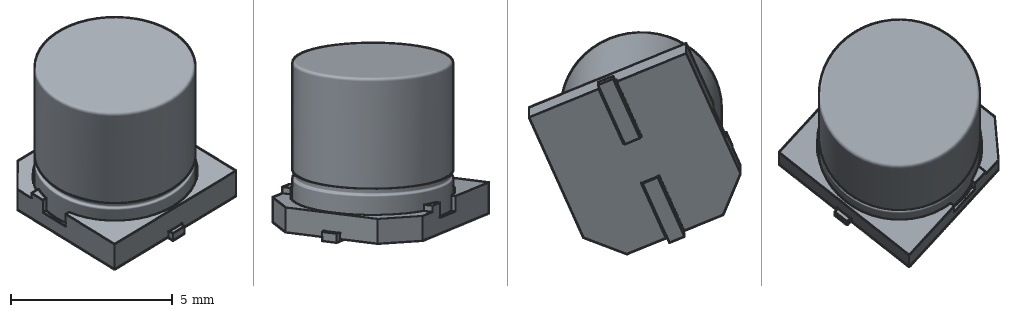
import cadquery as cq

total_length = 5.6
total_height = 5.2

base_side = 5.3
base_bottom = 0.09
corner_chamfer = 1.025
ledge_height = 0.885
wall_height = 1.08
wall_start = -1.0
notch_width = 0.995
notch_floor = 0.6
seat_height = 0.5
seat_radius = 2.555

can_radius = 2.5
top_fillet = 0.1
groove_center = 1.59
groove_height = 0.3
groove_round = 0.05

terminal_width = 0.51
terminal_height = 0.29
terminal_inner_end = 0.695
slot_width = 0.605


def block(x_start, x_end, width, z_start, z_end):
    """Rectangular block centered on Y = 0."""
    length = x_end - x_start
    height = z_end - z_start
    return cq.Workplane("XY").box(length, width, height, centered=(False, True, False)).translate(
        (x_start, 0, z_start)
    )


def make_base():
    half_side = base_side / 2
    plate = block(-half_side, half_side, base_side, base_bottom, wall_height)
    plate = plate.edges("|Z and <X").chamfer(corner_chamfer)
    lowered_end = block(-half_side, wall_start, base_side, ledge_height, wall_height)
    notches = block(-notch_width / 2, notch_width / 2, base_side, notch_floor, wall_height)
    seat = cq.Workplane("XY", origin=(0, 0, seat_height)).circle(seat_radius).extrude(wall_height)
    return plate.cut(lowered_end).cut(notches).cut(seat)


def make_can():
    """Revolved can with a rolled groove whose flanks are S-shaped."""
    flank_radius = can_radius - groove_round
    groove_radius = can_radius - 2 * groove_round
    low = groove_center - groove_height / 2
    high = groove_center + groove_height / 2
    profile = (
        cq.Workplane("XZ")
        .moveTo(0, seat_height)
        .lineTo(can_radius, seat_height)
        .lineTo(can_radius, low)
        .radiusArc((flank_radius, low + groove_round), -groove_round)
        .radiusArc((groove_radius, low + 2 * groove_round), groove_round)
        .lineTo(groove_radius, high - 2 * groove_round)
        .radiusArc((flank_radius, high - groove_round), groove_round)
        .radiusArc((can_radius, high), -groove_round)
        .lineTo(can_radius, total_height)
        .lineTo(0, total_height)
        .close()
    )
    can = profile.revolve(360, (0, 0, 0), (0, 1, 0))
    return can.faces(">Z").edges().fillet(top_fillet)


def both_ends(shape):
    """The shape together with its mirror image across X = 0."""
    return shape.union(shape.mirror("YZ"))


slot = block(terminal_inner_end, base_side / 2, slot_width, base_bottom, terminal_height)
terminal = block(terminal_inner_end, total_length / 2, terminal_width, 0, terminal_height)

result = make_base().cut(both_ends(slot)).union(make_can()).union(both_ends(terminal))